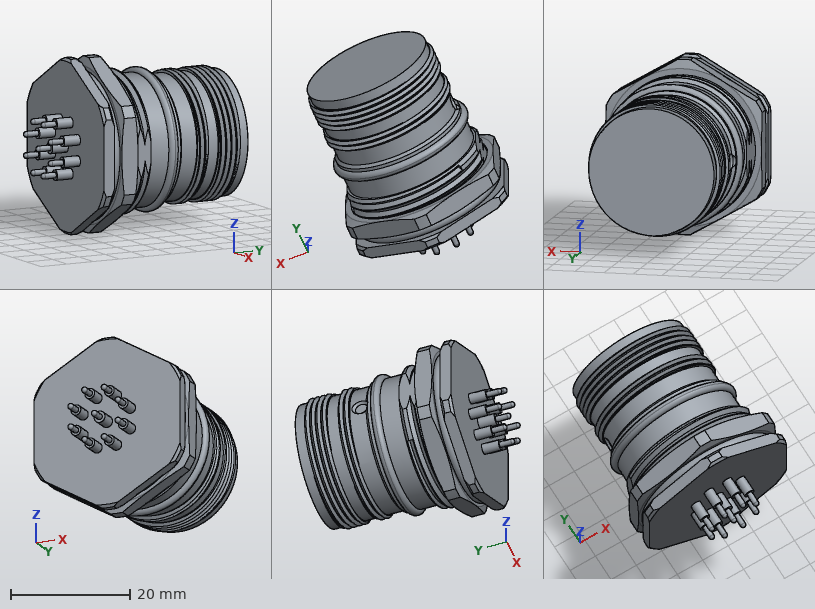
import cadquery as cq
import math


ACROSS_FLATS = 27.0
CORNER_RADIUS = 15.0

FLANGE_THICKNESS = 2.0
FLANGE_CHAMFER = 0.45

FLANGE_SEAL_WIDTH = 1.45
FLANGE_SEAL_RADIUS = 13.15
FLANGE_SEAL_CROWN = 0.3

NUT_THICKNESS = 3.1
NUT_CHAMFER_LENGTH = 0.45
NUT_CHAMFER_DEPTH = 1.5
NUT_START = FLANGE_THICKNESS + FLANGE_SEAL_WIDTH
NUT_END = NUT_START + NUT_THICKNESS

MOUNT_PITCH = 1.5
MOUNT_ROOT_RADIUS = 11.83
MOUNT_CREST_RADIUS = 12.45
MOUNT_END = 10.0
MOUNT_CHAMFER = MOUNT_CREST_RADIUS - MOUNT_ROOT_RADIUS
MOUNT_FLAT_DISTANCE = 11.75
GROOVE_START = 9.37
GROOVE_START_ANGLE = 135
GROOVE_OVERCUT = 0.05

BODY_RADIUS = 11.4
SHOULDER_START = 15.85
SHOULDER_END = 16.3
BODY_SEAL_POSITION = 14.4
BODY_SEAL_SECTION_RADIUS = 0.85

BARREL_RADIUS = 10.85
BARREL_END = 29.0
COUPLING_PITCH = 1.0
COUPLING_CREST_RADIUS = BODY_RADIUS
COUPLING_SPANS = [(19.2, 21.25, 18.15), (23.25, 27.3, 22.15)]

THREAD_SHARE = 0.98
TOOTH_ROOT_DEPTH = 0.05

POCKET_POSITION = 17.3
POCKET_MOUTH_RADIUS = 1.5
POCKET_FLOOR_RADIUS = 1.05
POCKET_DEPTH = 0.5

PIN_COUNT = 8
PIN_CIRCLE_RADIUS = 4.72
PIN_SLEEVE_RADIUS = 0.9
CENTRE_SLEEVE_RADIUS = 1.0
PIN_SLEEVE_LENGTH = 3.0
PIN_TIP_RADIUS = 0.5
PIN_LENGTH = 5.6


def revolve_about_y(profile):
    return profile.close().revolve(360, (0, 0, 0), (0, 1, 0))


def cylinder(radius, start, end):
    return cq.Workplane("XZ", origin=(0, start, 0)).circle(radius).extrude(start - end)


def chamfered_hexagon(start, end, chamfer_length, chamfer_depth):
    """Hexagonal plate with flats facing +X and -X and its corners turned round and chamfered."""
    across_corners = ACROSS_FLATS / math.cos(math.radians(30))
    prism = (
        cq.Workplane("XZ", origin=(0, start, 0))
        .transformed(rotate=(0, 0, 30))
        .polygon(6, across_corners)
        .extrude(start - end)
    )
    face_radius = CORNER_RADIUS - chamfer_depth
    turned = revolve_about_y(
        cq.Workplane("XY")
        .moveTo(0, start)
        .lineTo(face_radius, start)
        .lineTo(CORNER_RADIUS, start + chamfer_length)
        .lineTo(CORNER_RADIUS, end - chamfer_length)
        .lineTo(face_radius, end)
        .lineTo(0, end)
    )
    return prism.intersect(turned)


def helical_ridge(base_radius, tip_radius, pitch, length):
    """V section swept along a right-hand helix around Y, starting on the +X side at Y = 0."""
    half_width = THREAD_SHARE * pitch / 2
    helix = cq.Workplane(obj=cq.Wire.makeHelix(pitch, length, base_radius))
    ridge = (
        cq.Workplane("XZ")
        .moveTo(base_radius, -half_width)
        .lineTo(tip_radius, 0)
        .lineTo(base_radius, half_width)
        .close()
        .sweep(helix, isFrenet=True)
    )
    return ridge.rotate((0, 0, 0), (1, 0, 0), -90)


def coupling_thread(start, end, first_crest):
    """Coupling thread tooth whose helix begins at first_crest on the +Z side, trimmed to its span."""
    tooth = helical_ridge(
        BARREL_RADIUS - TOOTH_ROOT_DEPTH,
        COUPLING_CREST_RADIUS,
        COUPLING_PITCH,
        end + COUPLING_PITCH - first_crest,
    )
    tooth = tooth.rotate((0, 0, 0), (0, 1, 0), -90).translate((0, first_crest, 0))
    return tooth.intersect(cylinder(CORNER_RADIUS, start, end))


def turned_core():
    """Seal crown, body with shoulder, and barrel, all turned about Y."""
    crown_edge = FLANGE_SEAL_RADIUS - FLANGE_SEAL_CROWN
    crown_middle = FLANGE_THICKNESS + FLANGE_SEAL_WIDTH / 2
    return revolve_about_y(
        cq.Workplane("XY")
        .moveTo(0, FLANGE_THICKNESS)
        .lineTo(crown_edge, FLANGE_THICKNESS)
        .threePointArc((FLANGE_SEAL_RADIUS, crown_middle), (crown_edge, NUT_START))
        .lineTo(BODY_RADIUS, NUT_START)
        .lineTo(BODY_RADIUS, SHOULDER_START)
        .lineTo(BARREL_RADIUS, SHOULDER_END)
        .lineTo(BARREL_RADIUS, BARREL_END)
        .lineTo(0, BARREL_END)
    )


def body_seal():
    return (
        cq.Workplane("XY")
        .center(BODY_RADIUS, BODY_SEAL_POSITION)
        .circle(BODY_SEAL_SECTION_RADIUS)
        .revolve(360, (-BODY_RADIUS, 0, 0), (-BODY_RADIUS, 1, 0))
    )


def mounting_thread():
    """Shank through the nut with flats on its +X and -X sides, threaded ahead of the nut."""
    shank = revolve_about_y(
        cq.Workplane("XY")
        .moveTo(0, NUT_START)
        .lineTo(MOUNT_CREST_RADIUS, NUT_START)
        .lineTo(MOUNT_CREST_RADIUS, MOUNT_END - MOUNT_CHAMFER)
        .lineTo(MOUNT_ROOT_RADIUS, MOUNT_END)
        .lineTo(0, MOUNT_END)
    )
    between_flats = cq.Workplane("XY").box(
        2 * MOUNT_FLAT_DISTANCE, 2 * BARREL_END, 2 * CORNER_RADIUS
    )
    groove_length = GROOVE_START - NUT_END + MOUNT_PITCH
    groove = helical_ridge(
        MOUNT_CREST_RADIUS + GROOVE_OVERCUT, MOUNT_ROOT_RADIUS, MOUNT_PITCH, groove_length
    )
    groove = (
        groove.rotate((0, 0, 0), (1, 0, 0), 180)
        .rotate((0, 0, 0), (0, 1, 0), GROOVE_START_ANGLE)
        .translate((0, GROOVE_START, 0))
        .intersect(cylinder(CORNER_RADIUS, NUT_END, MOUNT_END))
    )
    return shank.intersect(between_flats).cut(groove)


def pocket():
    """Cone below the barrel surface, opening into a round clearance through the shoulder."""
    cone = (
        cq.Workplane("YZ", origin=(-BARREL_RADIUS, POCKET_POSITION, 0))
        .circle(POCKET_MOUTH_RADIUS)
        .workplane(offset=POCKET_DEPTH)
        .circle(POCKET_FLOOR_RADIUS)
        .loft(ruled=True)
    )
    clearance = (
        cq.Workplane("YZ", origin=(-BARREL_RADIUS, POCKET_POSITION, 0))
        .circle(POCKET_MOUTH_RADIUS)
        .extrude(BARREL_RADIUS - CORNER_RADIUS)
    )
    return cone.union(clearance)


def pin(x, z, sleeve_radius):
    """Contact pin pointing to -Y: a sleeve and a thin tip with a domed end."""
    dome_start = PIN_TIP_RADIUS - PIN_LENGTH
    dome_offset = PIN_TIP_RADIUS * math.sqrt(0.5)
    return revolve_about_y(
        cq.Workplane("XY")
        .lineTo(sleeve_radius, 0)
        .lineTo(sleeve_radius, -PIN_SLEEVE_LENGTH)
        .lineTo(PIN_TIP_RADIUS, -PIN_SLEEVE_LENGTH)
        .lineTo(PIN_TIP_RADIUS, dome_start)
        .threePointArc((dome_offset, dome_start - dome_offset), (0, -PIN_LENGTH))
    ).translate((x, 0, z))


def make_housing():
    housing = chamfered_hexagon(0, FLANGE_THICKNESS, FLANGE_CHAMFER, FLANGE_CHAMFER)
    housing = housing.union(turned_core())
    housing = housing.union(mounting_thread())
    for start, end, first_crest in COUPLING_SPANS:
        housing = housing.union(coupling_thread(start, end, first_crest))
    housing = housing.cut(pocket()).union(body_seal())
    housing = housing.union(pin(0, 0, CENTRE_SLEEVE_RADIUS))
    for index in range(PIN_COUNT):
        angle = 2 * math.pi * (index + 0.5) / PIN_COUNT
        x = PIN_CIRCLE_RADIUS * math.cos(angle)
        z = PIN_CIRCLE_RADIUS * math.sin(angle)
        housing = housing.union(pin(x, z, PIN_SLEEVE_RADIUS))
    return housing


def make_nut():
    blank = chamfered_hexagon(NUT_START, NUT_END, NUT_CHAMFER_LENGTH, NUT_CHAMFER_DEPTH)
    return blank.cut(cylinder(MOUNT_CREST_RADIUS, NUT_START, NUT_END))


housing = make_housing()
nut = make_nut()
result = cq.Compound.makeCompound([housing.val(), nut.val()])